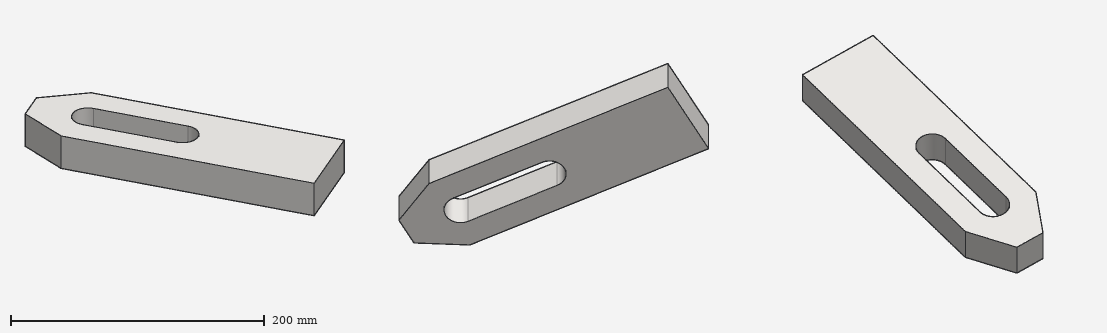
import cadquery as cq
import math

length = 250.0
width = 70.0
thickness = 30.0

nose_tip_width = 26.0
nose_flank_angle = 30.0
nose_length = (width - nose_tip_width) / 2 / math.tan(math.radians(nose_flank_angle))

slot_width = 26.0
slot_length = 105.0
slot_start = 35.0
slot_center_x = slot_start + slot_length / 2


def make_bar():
    """Bar with its tip face at X = 0 and its underside at Z = 0."""
    return (
        cq.Workplane("XY")
        .moveTo(0, -nose_tip_width / 2)
        .lineTo(nose_length, -width / 2)
        .lineTo(length, -width / 2)
        .lineTo(length, width / 2)
        .lineTo(nose_length, width / 2)
        .lineTo(0, nose_tip_width / 2)
        .close()
        .extrude(thickness)
    )


def make_slot():
    """Solid removed by the through slot."""
    return (
        cq.Workplane("XY")
        .center(slot_center_x, 0)
        .slot2D(slot_length, slot_width)
        .extrude(thickness)
    )


result = make_bar().cut(make_slot())